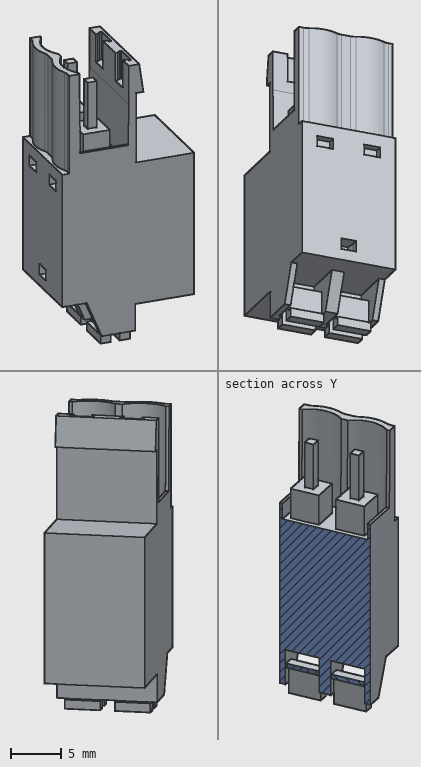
import cadquery as cq
import math

width = 10.15
depth = 14.2
height = 29.93
pole_pitch = 5.1
pole_xs = [-pole_pitch / 2, pole_pitch / 2]

body_top = 19.33
front_bottom = 5.0
rear_bottom = 4.0
neck_bottom = 1.15
neck_rear = 7.87
slope_top_y = 2.63
slope_bottom_y = 4.25

latch_wall_rear = 7.95
latch_wall_front = 7.15
tooth_bottom = 26.85
tooth_tip_y = 8.75
tooth_top_y = 8.3
keyway_rear_y = 7.93
keyway_bottom = 26.95
keyway_rear_width = 2.45
keyway_front_width = 1.85
keyway_rear_straight = 0.18
keyway_front_straight = 0.25

flat_y = 0.75
bulge_y = 0.3
bulge_half_width = 1.5
blend_width = 0.57

rim_z = 21.35
floor_z = 19.6
side_wall = 0.33
cavity_front_y = 1.85
scallop_depth = 0.78
scallop_half_width = 2.18
draft = 0.1
draft_start_z = 25.75

pin_size = 1.0
pin_top = 27.9
pin_y = 4.07
collar_width = 3.17
collar_depth = 2.87
collar_top = 22.9

window_depth = 0.85
upper_window_width = 1.75
upper_window_bottom = 16.9
upper_window_top = 18.02
lower_window_width = 1.6
lower_window_bottom = 6.17
lower_window_top = 7.33
relief_depth = 0.9
relief_drop = 0.78
relief_taper = 0.12

slot_width = 3.77
lever_width = 3.6
lever_top = 3.55
lever_mid_y = 6.02
leg_gap = 0.95
leg_thickness = 0.55
foot_length = 1.1
foot_height = 0.93
leg_outer = leg_gap / 2 + leg_thickness
foot_outer = leg_gap / 2 + foot_length
lever_rear_y = lever_mid_y + leg_outer


def centred_box(x_mid, x_size, y_range, z_range):
    """Box centred on x_mid, between two limits along Y and along Z."""
    y_low, y_high = y_range
    z_low, z_high = z_range
    block = cq.Workplane("XY").box(x_size, y_high - y_low, z_high - z_low, centered=(True, False, False))
    return block.translate((x_mid, y_low, z_low))


def side_prism(points):
    """Prism across the whole width from an outline of (Y, Z) points."""
    return cq.Workplane("YZ").polyline(points).close().extrude(width / 2, both=True)


def make_block():
    """Main block with the sloped neck below and the latch wall above."""
    return side_prism(
        [
            (0, front_bottom),
            (0, body_top),
            (latch_wall_front, body_top),
            (latch_wall_front, height),
            (tooth_top_y, height),
            (tooth_tip_y, tooth_bottom),
            (latch_wall_rear, tooth_bottom),
            (latch_wall_rear, body_top),
            (depth, body_top),
            (depth, rear_bottom),
            (neck_rear, rear_bottom),
            (neck_rear, neck_bottom),
            (slope_bottom_y, neck_bottom),
            (slope_top_y, front_bottom),
        ]
    )


def make_socket():
    """Socket solid whose front follows two bulges, each blended into the flats by tangent arcs."""
    rise = flat_y - bulge_y
    half_span = bulge_half_width + blend_width
    turn = 2 * math.atan(rise / half_span)
    bulge_radius = bulge_half_width / math.sin(turn)
    blend_radius = blend_width / math.sin(turn)
    join_y = bulge_y + bulge_radius * (1 - math.cos(turn))
    half_turn_x = blend_radius * math.sin(turn / 2)
    half_turn_y = flat_y - blend_radius * (1 - math.cos(turn / 2))

    outline = cq.Workplane("XY", origin=(0, 0, body_top))
    outline = outline.moveTo(-width / 2, latch_wall_front).lineTo(-width / 2, flat_y)
    for x in pole_xs:
        outline = (
            outline.lineTo(x - half_span, flat_y)
            .threePointArc((x - half_span + half_turn_x, half_turn_y), (x - bulge_half_width, join_y))
            .threePointArc((x, bulge_y), (x + bulge_half_width, join_y))
            .threePointArc((x + half_span - half_turn_x, half_turn_y), (x + half_span, flat_y))
        )
    outline = outline.lineTo(width / 2, flat_y).lineTo(width / 2, latch_wall_front).close()
    return outline.extrude(height - body_top)


def cavity_section(z, front_y):
    """Plan outline of the cavity at height z, with one scallop in front of each pin."""
    outline = cq.Workplane("XY", origin=(0, 0, z))
    outline = outline.moveTo(-width / 2, latch_wall_front).lineTo(-width / 2, front_y)
    for x in pole_xs:
        outline = outline.lineTo(x - scallop_half_width, front_y).threePointArc(
            (x, front_y - scallop_depth), (x + scallop_half_width, front_y)
        )
    return outline.lineTo(width / 2, front_y).lineTo(width / 2, latch_wall_front).close().val()


def make_cavity():
    """Drafted cavity, open through both sides above the rim and closed by side walls below it."""
    lower = cavity_section(floor_z, cavity_front_y + draft)
    upper = cavity_section(height, cavity_front_y)
    drafted = cq.Workplane(cq.Solid.makeLoft([lower, upper], True))
    reach = centred_box(0, width, (0, depth), (rim_z, height)).union(
        centred_box(0, width - 2 * side_wall, (0, depth), (floor_z, rim_z))
    )
    latch_draft = side_prism(
        [
            (latch_wall_front, draft_start_z),
            (latch_wall_front, floor_z),
            (latch_wall_front - draft, floor_z),
        ]
    )
    return drafted.intersect(reach).cut(latch_draft)


def make_keyway(x):
    """Keyway in the front of the latch wall, wider at the rear and open at the top."""
    half_rear = keyway_rear_width / 2
    half_front = keyway_front_width / 2
    right_side = [
        (half_rear, keyway_rear_y),
        (half_rear, keyway_rear_y - keyway_rear_straight),
        (half_front, latch_wall_front + keyway_front_straight),
        (half_front, latch_wall_front),
    ]
    left_side = [(-side_x, side_y) for side_x, side_y in reversed(right_side)]
    outline = cq.Workplane("XY", origin=(x, 0, keyway_bottom)).polyline(right_side + left_side).close()
    return outline.extrude(height - keyway_bottom)


def make_lower_window():
    """Window in the front wall, leading to a deeper relief with one tapered side."""
    half = lower_window_width / 2
    rear_y = window_depth + relief_depth
    window = centred_box(0, lower_window_width, (0, window_depth), (lower_window_bottom, lower_window_top))
    relief_bottom = lower_window_bottom - relief_drop
    relief = (
        cq.Workplane("XY", origin=(0, 0, relief_bottom))
        .polyline([(-half, window_depth), (half, window_depth), (half - relief_taper, rear_y), (-half, rear_y)])
        .close()
        .extrude(lower_window_top - relief_bottom)
    )
    return window.union(relief)


def make_lever(x):
    """Inverted channel whose two legs end in outward feet."""
    legs = centred_box(x, lever_width, (lever_mid_y - leg_outer, lever_rear_y), (0, lever_top))
    feet = centred_box(x, lever_width, (lever_mid_y - foot_outer, lever_mid_y + foot_outer), (0, foot_height))
    gap_y = (lever_mid_y - leg_gap / 2, lever_mid_y + leg_gap / 2)
    gap = centred_box(x, lever_width, gap_y, (0, lever_top - leg_thickness))
    return legs.union(feet).cut(gap)


def make_pin(x):
    """Square contact pin standing on the socket floor."""
    return centred_box(x, pin_size, (pin_y - pin_size / 2, pin_y + pin_size / 2), (floor_z, pin_top))


def make_housing():
    """Housing with its socket, pin collars, keyways, windows and lever slots."""
    housing = make_block().union(make_socket()).cut(make_cavity())
    collar_y = (pin_y - collar_depth / 2, pin_y + collar_depth / 2)
    for x in pole_xs:
        collar = centred_box(x, collar_width, collar_y, (floor_z, collar_top))
        upper_window = centred_box(
            x, upper_window_width, (0, window_depth), (upper_window_bottom, upper_window_top)
        )
        lever_slot = centred_box(x, slot_width, (slope_top_y, lever_rear_y), (neck_bottom, front_bottom))
        housing = housing.union(collar).cut(make_pin(x))
        housing = housing.cut(make_keyway(x)).cut(upper_window).cut(lever_slot)
    return housing.cut(make_lower_window())


housing = make_housing()
pins = [make_pin(x).val() for x in pole_xs]
levers = [make_lever(x).val() for x in pole_xs]

result = cq.Compound.makeCompound([housing.val(), *pins, *levers])